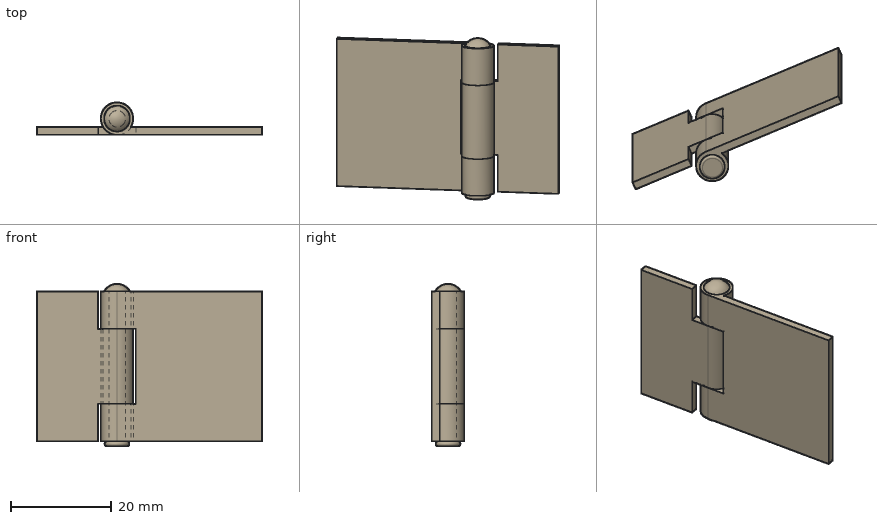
import cadquery as cq
import math

hinge_height = 30.0
leaf_thickness = 1.6
left_leaf_reach = 16.0
right_leaf_reach = 29.0

pin_radius = 1.65
knuckle_radius = pin_radius + leaf_thickness
knuckle_clearance = 0.5
notch_reach = knuckle_radius + knuckle_clearance

middle_knuckle_height = hinge_height / 2
end_knuckle_height = (hinge_height - middle_knuckle_height) / 2
middle_knuckle_bottom = end_knuckle_height
middle_knuckle_top = hinge_height - end_knuckle_height

dome_height = 1.5
dome_sphere_radius = 3.0
dome_centre_z = hinge_height + dome_height - dome_sphere_radius
head_radius = math.sqrt(dome_sphere_radius**2 - (hinge_height - dome_centre_z) ** 2)
foot_height = 1.0
foot_radius = 2.5
foot_flat_radius = foot_radius - foot_height / 2

middle_span = [(middle_knuckle_bottom, middle_knuckle_top)]
end_spans = [(0, middle_knuckle_bottom), (middle_knuckle_top, hinge_height)]


def plate(inner_x, outer_x, bottom, top):
    """Flat leaf stock whose front face is tangent to the knuckles."""
    return (
        cq.Workplane("XY")
        .box(outer_x - inner_x, leaf_thickness, top - bottom, centered=False)
        .translate((inner_x, -knuckle_radius, bottom))
    )


def leaf(side, reach, knuckle_spans):
    """Leaf on the given side of the pin (-1 left, +1 right), with its knuckles bored for the pin."""
    inner_x, outer_x = sorted((side * notch_reach, side * reach))
    body = plate(inner_x, outer_x, 0, hinge_height)
    tab_start, tab_end = sorted((0, side * notch_reach))
    for bottom, top in knuckle_spans:
        knuckle = cq.Workplane("XY").workplane(offset=bottom).circle(knuckle_radius).extrude(top - bottom)
        body = body.union(plate(tab_start, tab_end, bottom, top)).union(knuckle)
    bore = cq.Workplane("XY").circle(pin_radius).extrude(hinge_height)
    return body.cut(bore)


def dome_point(x):
    """Point on the spherical dome at distance x from the pin axis."""
    return (x, dome_centre_z + math.sqrt(dome_sphere_radius**2 - x**2))


def rivet_pin():
    """Pin with a domed head on top and a flat foot with a half-round rim below."""
    return (
        cq.Workplane("XZ")
        .moveTo(0, -foot_height)
        .lineTo(foot_flat_radius, -foot_height)
        .threePointArc((foot_radius, -foot_height / 2), (foot_flat_radius, 0))
        .lineTo(pin_radius, 0)
        .lineTo(pin_radius, hinge_height)
        .lineTo(head_radius, hinge_height)
        .threePointArc(dome_point(head_radius / 2), dome_point(0))
        .close()
        .revolve(360, (0, 0, 0), (0, 1, 0))
    )


left_leaf = leaf(-1, left_leaf_reach, middle_span)
right_leaf = leaf(1, right_leaf_reach, end_spans)
pin = rivet_pin()

result = cq.Compound.makeCompound([left_leaf.solids().val(), right_leaf.solids().val(), pin.val()])